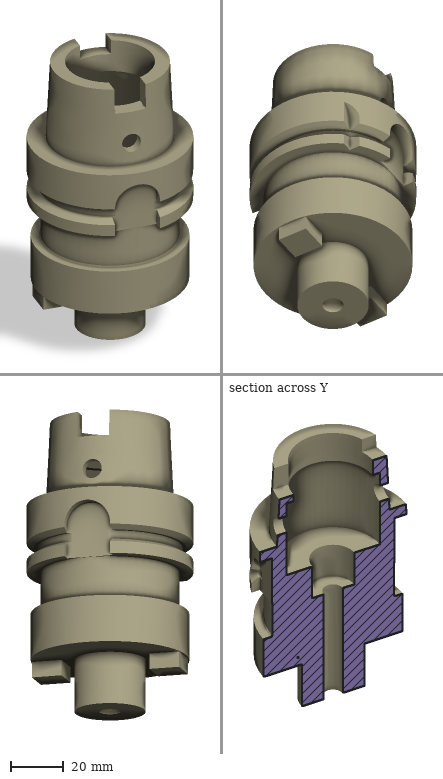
import cadquery as cq
import math


taper_height = 32.0
taper_base_diameter = 48.6
taper_ratio = 0.1
taper_tip_diameter = taper_base_diameter - taper_ratio * taper_height

flange_diameter = 63.0
flange_height = 26.0
groove_center_depth = 18.0
groove_bottom_diameter = 55.0
groove_bottom_width = 3.6
groove_shoulder_diameter = 57.6
groove_flank_angle = 30.0

neck_diameter = 52.5
neck_foot_height = 0.6
neck_foot_diameter = neck_diameter + 2 * neck_foot_height
collar_diameter = 60.0
collar_top_depth = 42.0
collar_bottom_depth = 60.0
pilot_diameter = 27.0
pilot_length = 20.0

mouth_diameter = 34.0
mouth_depth = 13.2
chamber_diameter = 40.0
chamber_floor_depth = 15.0
coolant_seat_diameter = 18.0
coolant_seat_depth = 30.0
through_hole_diameter = 8.0

rim_notch_width = 12.54
left_rim_notch_depth = 6.0
right_rim_notch_depth = 10.0
radial_hole_diameter = 7.5
radial_hole_height = 9.0

left_slot_width = 16.0
right_slot_width = 18.0
slot_floor_distance = 26.5
slot_top_depth = 5.0
corner_pocket_width = 16.0
corner_pocket_floor_distance = 20.0
corner_pocket_wall_distance = 20.0
corner_pocket_top_depth = 4.0

key_width = 12.0
key_height = 6.0
key_inner_distance = 17.3
key_outer_distance = 29.0

part_top = taper_height
part_bottom = -(collar_bottom_depth + pilot_length)


def turned_body():
    """Revolve the outer half profile about Z."""
    flange_radius = flange_diameter / 2
    groove_radius = groove_bottom_diameter / 2
    shoulder_radius = groove_shoulder_diameter / 2
    flank_rise = (flange_radius - shoulder_radius) * math.tan(math.radians(groove_flank_angle))
    groove_top = -groove_center_depth + groove_bottom_width / 2
    groove_bottom = -groove_center_depth - groove_bottom_width / 2
    profile = [
        (0, part_top),
        (taper_tip_diameter / 2, part_top),
        (taper_base_diameter / 2, 0),
        (flange_radius, 0),
        (flange_radius, groove_top + flank_rise),
        (shoulder_radius, groove_top),
        (groove_radius, groove_top),
        (groove_radius, groove_bottom),
        (shoulder_radius, groove_bottom),
        (flange_radius, groove_bottom - flank_rise),
        (flange_radius, -flange_height),
        (neck_diameter / 2, -flange_height),
        (neck_diameter / 2, -collar_top_depth + neck_foot_height),
        (neck_foot_diameter / 2, -collar_top_depth),
        (collar_diameter / 2, -collar_top_depth),
        (collar_diameter / 2, -collar_bottom_depth),
        (pilot_diameter / 2, -collar_bottom_depth),
        (pilot_diameter / 2, part_bottom),
        (0, part_bottom),
    ]
    return cq.Workplane("XZ").polyline(profile).close().revolve(360, (0, 0), (0, 1))


def cylinder_between(diameter, bottom, top):
    """Cylinder on the Z axis from height bottom to height top."""
    return cq.Workplane("XY", origin=(0, 0, bottom)).circle(diameter / 2).extrude(top - bottom)


def inner_bores():
    """Mouth, wider chamber, coolant tube seat and through hole."""
    mouth = cylinder_between(mouth_diameter, part_top - mouth_depth, part_top)
    chamber = cylinder_between(chamber_diameter, -chamber_floor_depth, part_top - mouth_depth)
    seat = cylinder_between(coolant_seat_diameter, -coolant_seat_depth, -chamber_floor_depth)
    through_hole = cylinder_between(through_hole_diameter, part_bottom, -coolant_seat_depth)
    return mouth.union(chamber).union(seat).union(through_hole)


def rim_notch(side, depth):
    """Square notch in the taper rim; side is -1 for -X and +1 for +X."""
    length = taper_base_diameter / 2
    notch = cq.Workplane("XY").box(length, rim_notch_width, depth)
    return notch.translate((side * length / 2, 0, part_top - depth / 2))


def radial_hole():
    """Hole through both taper walls along X."""
    hole = cq.Workplane("YZ").center(0, radial_hole_height).circle(radial_hole_diameter / 2)
    return hole.extrude(taper_base_diameter / 2, both=True)


def flange_slot(side, width, floor_distance, top_depth, center_y=0.0):
    """Round-topped slot cut along X from the outside, open at the flange's lower face."""
    radius = width / 2
    arc_height = -top_depth - radius
    slot = (
        cq.Workplane("YZ", origin=(side * floor_distance, center_y, 0))
        .moveTo(-radius, -flange_height)
        .lineTo(-radius, arc_height)
        .threePointArc((0, -top_depth), (radius, arc_height))
        .lineTo(radius, -flange_height)
        .close()
    )
    return slot.extrude(side * flange_diameter / 2)


def drive_key(side):
    """Rectangular key under the collar; side is -1 for -Y and +1 for +Y."""
    length = key_outer_distance - key_inner_distance
    key = cq.Workplane("XY").box(key_width, length, key_height)
    middle = (key_outer_distance + key_inner_distance) / 2
    return key.translate((0, side * middle, -collar_bottom_depth - key_height / 2))


result = turned_body().cut(inner_bores()).cut(radial_hole())

for side, depth in ((-1, left_rim_notch_depth), (1, right_rim_notch_depth)):
    result = result.cut(rim_notch(side, depth))

for side, width in ((-1, left_slot_width), (1, right_slot_width)):
    result = result.cut(flange_slot(side, width, slot_floor_distance, slot_top_depth))

corner_pocket_center = corner_pocket_wall_distance + corner_pocket_width / 2
result = result.cut(
    flange_slot(
        -1,
        corner_pocket_width,
        corner_pocket_floor_distance,
        corner_pocket_top_depth,
        corner_pocket_center,
    )
)

for side in (-1, 1):
    result = result.union(drive_key(side))